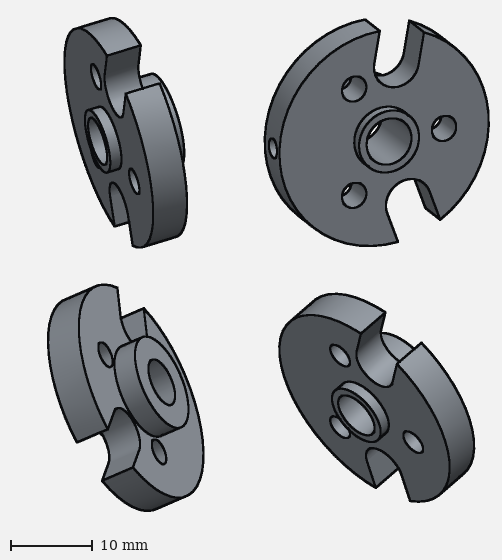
import cadquery as cq
import math

disc_diameter = 28.0
disc_thickness = 4.5

overall_depth = 9.0
rear_hub_diameter = 12.0
rear_hub_height = 3.0
front_hub_diameter = 8.0
front_hub_height = overall_depth - disc_thickness - rear_hub_height
bore_diameter = 6.0

mount_hole_diameter = 3.25
mount_hole_count = 3
mount_circle_radius = 8.0

slot_width = 6.0
slot_centre_radius = 9.5
slot_angles = (80, -70)

screw_hole_diameter = 2.45
screw_hole_offset = 0.25

front_y = -front_hub_height
rear_y = disc_thickness + rear_hub_height
disc_radius = disc_diameter / 2


def cylinder(diameter, y_start, y_end, x=0, z=0):
    """Cylinder parallel to Y between two Y levels."""
    return cq.Workplane(
        cq.Solid.makeCylinder(
            diameter / 2, y_end - y_start, cq.Vector(x, y_start, z), cq.Vector(0, 1, 0)
        )
    )


def rim_slot(angle):
    """Cutter for a radial slot at an angle from +X toward +Z."""
    round_end = cylinder(slot_width, 0, disc_thickness, x=slot_centre_radius)
    channel = cq.Workplane("XY").box(
        disc_radius, disc_thickness, slot_width, centered=(False, False, True)
    ).translate((slot_centre_radius, 0, 0))
    return round_end.union(channel).rotate((0, 0, 0), (0, -1, 0), angle)


result = cylinder(disc_diameter, 0, disc_thickness)
result = result.union(cylinder(front_hub_diameter, front_y, 0))
result = result.union(cylinder(rear_hub_diameter, disc_thickness, rear_y))

result = result.cut(cylinder(bore_diameter, front_y, rear_y))

for index in range(mount_hole_count):
    angle = 2 * math.pi * index / mount_hole_count
    hole_x = mount_circle_radius * math.cos(angle)
    hole_z = mount_circle_radius * math.sin(angle)
    result = result.cut(cylinder(mount_hole_diameter, 0, disc_thickness, hole_x, hole_z))

for slot_angle in slot_angles:
    result = result.cut(rim_slot(slot_angle))

screw_y = disc_thickness / 2 - screw_hole_offset
screw_hole = cq.Solid.makeCylinder(
    screw_hole_diameter / 2, disc_radius, cq.Vector(-disc_radius, screw_y, 0), cq.Vector(1, 0, 0)
)
result = result.cut(cq.Workplane(screw_hole))